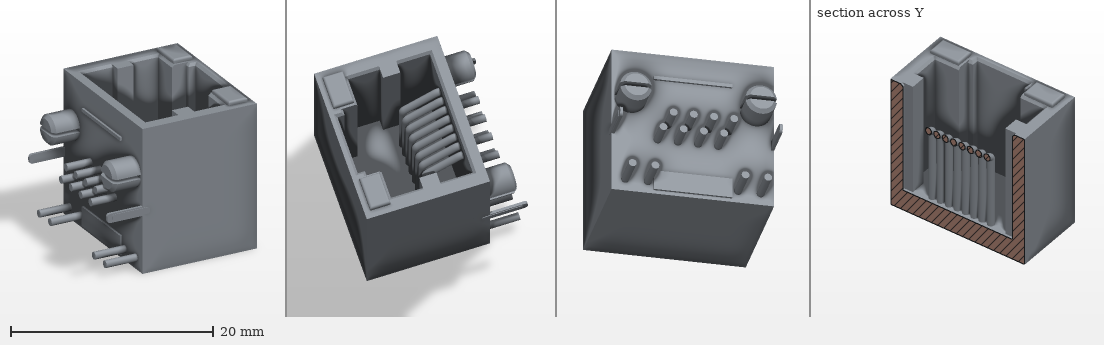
import cadquery as cq
import math


TOTAL_WIDTH = 16.6
TOTAL_HEIGHT = 16.2
TOTAL_DEPTH = 16.78
BODY_HEIGHT = 15.72
BODY_DEPTH = 12.84
EMBED = 0.17

PAD_THICKNESS = 0.07
PAD_INNER_END = 0.82
PAD_OUTER_END = -3.4
PAD_HEIGHT = 0.7
PAD_CORNER_RADIUS = 0.25
BLADE_THICKNESS = 0.3
BLADE_HEIGHT = 1.0
BLADE_CORNER_RADIUS = 0.34
BLADE_Z = 6.8
BODY_WIDTH = TOTAL_WIDTH - 2 * PAD_THICKNESS
BLADE_TIP = BODY_DEPTH - TOTAL_DEPTH

FLOOR_Z = 2.52
MOUTH_CHAMFER = 0.27
CAVITY_WIDTH = 13.39
CAVITY_BOTTOM_Y = 1.28
CAVITY_TOP_Y = 9.82
NECK_WIDTH = 7.53
NECK_TOP_Y = 11.35
NOTCH_WIDTH = 6.33
NOTCH_TOP_Y = 12.1
RIB_GAP = 11.31
RIB_BOTTOM_Y = 4.72
RIB_TOP_Y = 6.51

LIGHT_WIDTH = 3.47
LIGHT_DEPTH = 2.13
LIGHT_X = 5.74
LIGHT_Y = 11.16
LIGHT_FILLET = 0.23
LIGHT_HEIGHT = TOTAL_HEIGHT - BODY_HEIGHT

WIRE_DIAMETER = 0.79
WIRE_RADIUS = WIRE_DIAMETER / 2
CONTACT_COUNT = 8
CONTACT_PITCH = 1.02
CONTACT_LEAD_LENGTH = 2.79
CONTACT_LEAD_ROWS_Z = (6.09, 7.85)
LIGHT_LEAD_LENGTH = 3.49
LIGHT_LEAD_XS = (4.56, 6.86)
LIGHT_LEAD_Z = 1.26
WIRE_SLOPE = math.radians(30)
WIRE_SLOPE_START_Y = 1.88
WIRE_TAIL_Y = 5.15
WIRE_BEND_RADIUS = 0.44

PEG_DIAMETER = 3.19
PEG_LENGTH = 3.02
PEG_CHAMFER = 0.37
PEG_SLOT = 0.45
PEG_X = 6.35
PEG_Z = 10.4

STANDOFF_HEIGHT = 0.23
STANDOFF_WIDTH = (CONTACT_COUNT - 1) * CONTACT_PITCH + WIRE_DIAMETER
BAR_HEIGHT = 0.37
BAR_Z = 12.97
BLOCK_BOTTOM_Z = 0.39
BLOCK_TOP_Z = 2.5

SIDES = (-1, 1)


def span_box(x_range, y_range, z_range):
    """Axis-aligned box between two limits on each axis."""
    (x0, x1), (y0, y1), (z0, z1) = x_range, y_range, z_range
    return cq.Workplane("XY").box(x1 - x0, y1 - y0, z1 - z0, centered=False).translate((x0, y0, z0))


def cavity_recess(width, bottom_y, top_y):
    """Rectangular pocket whose mouth flares out on all four sides."""
    mid_y = (bottom_y + top_y) / 2
    pocket = span_box((-width / 2, width / 2), (bottom_y, top_y), (FLOOR_Z, BODY_HEIGHT))
    flare = (
        cq.Workplane("XY", origin=(0, mid_y, BODY_HEIGHT - MOUTH_CHAMFER))
        .rect(width, top_y - bottom_y)
        .workplane(offset=MOUTH_CHAMFER)
        .rect(width + 2 * MOUTH_CHAMFER, top_y - bottom_y + 2 * MOUTH_CHAMFER)
        .loft(combine=True)
    )
    return pocket.union(flare)


def neck_recess():
    """Latch neck: straight side walls, with only its top edge chamfered."""
    return (
        cq.Workplane("YZ", origin=(-NECK_WIDTH / 2, 0, 0))
        .moveTo(RIB_TOP_Y, FLOOR_Z)
        .lineTo(NECK_TOP_Y, FLOOR_Z)
        .lineTo(NECK_TOP_Y, BODY_HEIGHT - MOUTH_CHAMFER)
        .lineTo(NECK_TOP_Y + MOUTH_CHAMFER, BODY_HEIGHT)
        .lineTo(RIB_TOP_Y, BODY_HEIGHT)
        .close()
        .extrude(NECK_WIDTH)
    )


def plug_cavity():
    """Stepped opening with a guide rib left standing on each side wall."""
    cavity = cavity_recess(CAVITY_WIDTH, CAVITY_BOTTOM_Y, CAVITY_TOP_Y)
    cavity = cavity.union(neck_recess())
    cavity = cavity.union(cavity_recess(NOTCH_WIDTH, RIB_TOP_Y, NOTCH_TOP_Y))
    for x_range in ((-BODY_WIDTH / 2, -RIB_GAP / 2), (RIB_GAP / 2, BODY_WIDTH / 2)):
        cavity = cavity.cut(span_box(x_range, (RIB_BOTTOM_Y, RIB_TOP_Y), (FLOOR_Z, BODY_HEIGHT)))
    return cavity


def indicator_light(x):
    """Raised light window with rounded top edges."""
    return (
        cq.Workplane("XY", origin=(x, LIGHT_Y, BODY_HEIGHT - EMBED))
        .rect(LIGHT_WIDTH, LIGHT_DEPTH)
        .extrude(LIGHT_HEIGHT + EMBED)
        .faces(">Z")
        .edges()
        .fillet(LIGHT_FILLET)
    )


def round_lead(x, z, diameter, length):
    """Cylinder standing out of the mounting face along -Y."""
    return cq.Workplane("XZ", origin=(x, EMBED, z)).circle(diameter / 2).extrude(length + EMBED)


def mounting_peg(x):
    """Chamfered peg split by a horizontal slot down to the mounting face."""
    peg = round_lead(x, PEG_Z, PEG_DIAMETER, PEG_LENGTH).faces("<Y").edges().chamfer(PEG_CHAMFER)
    slot = span_box(
        (x - PEG_DIAMETER, x + PEG_DIAMETER),
        (-PEG_LENGTH, 0),
        (PEG_Z - PEG_SLOT / 2, PEG_Z + PEG_SLOT / 2),
    )
    return peg.cut(slot)


def standoff(bottom_z, top_z):
    """Shallow rectangular step on the mounting face."""
    return span_box(
        (-STANDOFF_WIDTH / 2, STANDOFF_WIDTH / 2),
        (-STANDOFF_HEIGHT, EMBED),
        (bottom_z, top_z),
    )


def rounded_strip(inner_x, thickness, y_range, height, corner_radius):
    """Strip along Y with rounded corners, growing from inner_x towards +X."""
    y0, y1 = y_range
    return (
        cq.Workplane("YZ", origin=(inner_x, (y0 + y1) / 2, BLADE_Z))
        .rect(y1 - y0, height)
        .extrude(thickness)
        .edges("|X")
        .fillet(corner_radius)
    )


def grounding_blade():
    """Blade on the +X wall with a thin raised pad on its outer face."""
    wall_x = BODY_WIDTH / 2
    blade = rounded_strip(
        wall_x - BLADE_THICKNESS,
        BLADE_THICKNESS,
        (BLADE_TIP, PAD_INNER_END),
        BLADE_HEIGHT,
        BLADE_CORNER_RADIUS,
    )
    pad = rounded_strip(
        wall_x - EMBED,
        PAD_THICKNESS + EMBED,
        (PAD_OUTER_END, PAD_INNER_END),
        PAD_HEIGHT,
        PAD_CORNER_RADIUS,
    )
    return blade.union(pad)


def contact_wire(x):
    """Wire leaving the lower cavity wall, sloping inwards, then running down to the floor."""
    sin_slope = math.sin(WIRE_SLOPE)
    cos_slope = math.cos(WIRE_SLOPE)
    entry_y = CAVITY_BOTTOM_Y - EMBED

    entry_radius = (WIRE_SLOPE_START_Y - CAVITY_BOTTOM_Y) / sin_slope
    slope_start = (WIRE_SLOPE_START_Y, BAR_Z - entry_radius * (1 - cos_slope))

    slope_end_y = WIRE_TAIL_Y - WIRE_BEND_RADIUS * (1 - sin_slope)
    slope_drop = (slope_end_y - WIRE_SLOPE_START_Y) * math.tan(WIRE_SLOPE)
    slope_end = (slope_end_y, slope_start[1] - slope_drop)
    tail_top_z = slope_end[1] - WIRE_BEND_RADIUS * cos_slope

    path = (
        cq.Workplane("YZ", origin=(x, 0, 0))
        .moveTo(entry_y, BAR_Z)
        .lineTo(CAVITY_BOTTOM_Y, BAR_Z)
        .tangentArcPoint(slope_start, relative=False)
        .lineTo(*slope_end)
        .tangentArcPoint((WIRE_TAIL_Y, tail_top_z), relative=False)
        .lineTo(WIRE_TAIL_Y, FLOOR_Z - EMBED)
    )
    return cq.Workplane("XZ", origin=(x, entry_y, BAR_Z)).circle(WIRE_RADIUS).sweep(path)


result = span_box((-BODY_WIDTH / 2, BODY_WIDTH / 2), (0, BODY_DEPTH), (0, BODY_HEIGHT))
result = result.cut(plug_cavity())

blade = grounding_blade()
result = result.union(blade).union(blade.mirror("YZ"))

for side in SIDES:
    result = result.union(indicator_light(side * LIGHT_X))
    result = result.union(mounting_peg(side * PEG_X))
    for lead_x in LIGHT_LEAD_XS:
        result = result.union(round_lead(side * lead_x, LIGHT_LEAD_Z, WIRE_DIAMETER, LIGHT_LEAD_LENGTH))

result = result.union(standoff(BAR_Z - BAR_HEIGHT / 2, BAR_Z + BAR_HEIGHT / 2))
result = result.union(standoff(BLOCK_BOTTOM_Z, BLOCK_TOP_Z))

for index in range(CONTACT_COUNT):
    contact_x = (index - (CONTACT_COUNT - 1) / 2) * CONTACT_PITCH
    row_z = CONTACT_LEAD_ROWS_Z[index % 2]
    result = result.union(round_lead(contact_x, row_z, WIRE_DIAMETER, CONTACT_LEAD_LENGTH))
    result = result.union(contact_wire(contact_x))